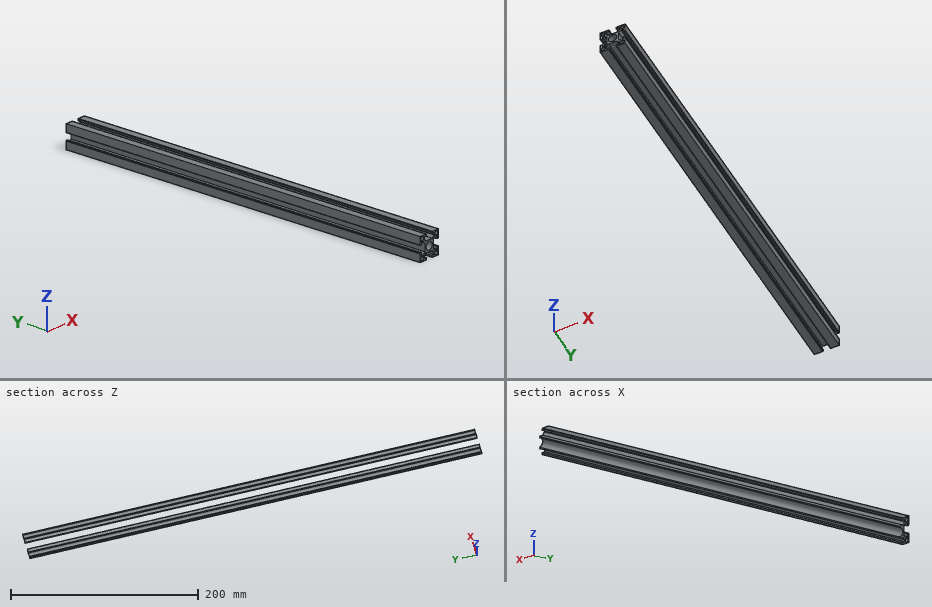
import cadquery as cq

LENGTH = 500.0
SIDE = 30.0
SLOT_WIDTH = 8.5
LIP_THICKNESS = 2.5
LIP_CHAMFER = 0.75
POCKET_WIDTH = 16.0
POCKET_FLOOR = 7.0
WEB_OFFSET = 2.0
BORE_DIAMETER = 10.0
CORNER_HOLE_DIAMETER = 4.5
CORNER_HOLE_POSITION = 11.5

half_side = SIDE / 2
half_slot = SLOT_WIDTH / 2
half_pocket = POCKET_WIDTH / 2
lip_back = half_side - LIP_THICKNESS


def lengthwise_workplane():
    """XZ plane at the +Y end; its normal points toward -Y."""
    return cq.Workplane("XZ", origin=(0, LENGTH / 2, 0))


def slot():
    """T-slot in the +Z side, with flanks running along the diagonal webs."""
    right_side = [
        (half_slot + LIP_CHAMFER, half_side),
        (half_slot, half_side - LIP_CHAMFER),
        (half_slot, lip_back),
        (half_pocket, lip_back),
        (half_pocket, half_pocket + WEB_OFFSET),
        (POCKET_FLOOR - WEB_OFFSET, POCKET_FLOOR),
    ]
    left_side = [(-x, z) for x, z in reversed(right_side)]
    return lengthwise_workplane().polyline(right_side + left_side).close().extrude(LENGTH)


def corner_holes():
    """Round channels along the four corners."""
    spacing = 2 * CORNER_HOLE_POSITION
    return (
        lengthwise_workplane()
        .rect(spacing, spacing, forConstruction=True)
        .vertices()
        .circle(CORNER_HOLE_DIAMETER / 2)
        .extrude(LENGTH)
    )


profile = lengthwise_workplane().rect(SIDE, SIDE).circle(BORE_DIAMETER / 2).extrude(LENGTH)

for angle in (0, 90, 180, 270):
    profile = profile.cut(slot().rotate((0, 0, 0), (0, 1, 0), angle))

result = profile.cut(corner_holes())